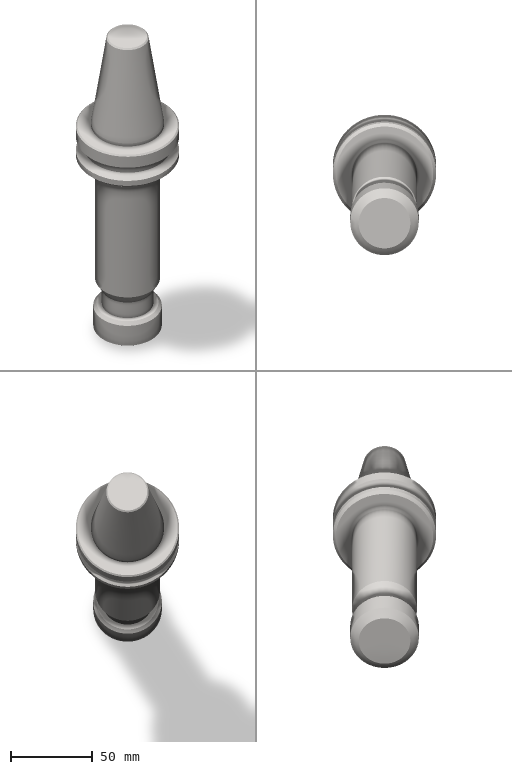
import cadquery as cq

total_height = 225.5

nut_radius = 21.0
nut_top = 21.2
nut_end_radius = 15.8
nut_end_bevel_height = 4.0
nut_chamfer = 2.0

neck_radius = 15.8
neck_top = 33.1
body_radius = 19.8
body_bottom = 40.1

flange_radius = 31.5
flange_bottom = 132.8
flange_top = 157.8
flange_bottom_chamfer = 1.8
flange_top_chamfer = 1.0
groove_radius = 26.8
groove_bottom = 138.5
groove_top = 148.5
groove_side_height = 2.7
root_fillet = 1.8

taper_length = 65.4
taper_base_radius = 22.3
taper_ratio = 7 / 24
tip_chamfer = 1.0
taper_base = total_height - taper_length
taper_tip_radius = taper_base_radius - taper_length * taper_ratio / 2
tip_edge_radius = taper_tip_radius + tip_chamfer * taper_ratio / 2


def add_nut(outline):
    return (
        outline.lineTo(nut_end_radius, 0)
        .lineTo(nut_radius, nut_end_bevel_height)
        .lineTo(nut_radius, nut_top - nut_chamfer)
        .lineTo(nut_radius - nut_chamfer, nut_top)
    )


def add_neck_and_body(outline):
    return (
        outline.lineTo(neck_radius, nut_top)
        .lineTo(neck_radius, neck_top)
        .lineTo(body_radius, body_bottom)
        .lineTo(body_radius, flange_bottom - root_fillet)
        .radiusArc((body_radius + root_fillet, flange_bottom), root_fillet)
    )


def add_flange(outline):
    return (
        outline.lineTo(flange_radius - flange_bottom_chamfer, flange_bottom)
        .lineTo(flange_radius, flange_bottom + flange_bottom_chamfer)
        .lineTo(flange_radius, groove_bottom)
        .lineTo(groove_radius, groove_bottom + groove_side_height)
        .lineTo(groove_radius, groove_top - groove_side_height)
        .lineTo(flange_radius, groove_top)
        .lineTo(flange_radius, flange_top - flange_top_chamfer)
        .lineTo(flange_radius - flange_top_chamfer, flange_top)
    )


def add_taper(outline):
    return (
        outline.lineTo(taper_base_radius, flange_top)
        .lineTo(taper_base_radius, taper_base)
        .lineTo(tip_edge_radius, total_height - tip_chamfer)
        .lineTo(tip_edge_radius - tip_chamfer, total_height)
        .lineTo(0, total_height)
    )


half_section = cq.Workplane("XZ").moveTo(0, 0)
half_section = add_nut(half_section)
half_section = add_neck_and_body(half_section)
half_section = add_flange(half_section)
half_section = add_taper(half_section).close()

result = half_section.revolve(360, (0, 0, 0), (0, 1, 0))